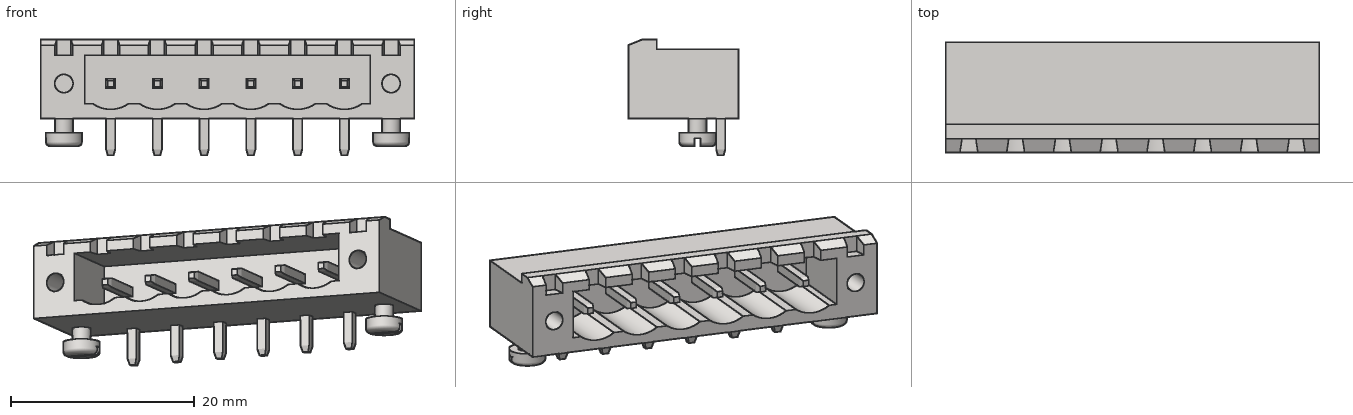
import cadquery as cq


length = 40.65
depth = 12.0
overall_height = 12.6
height = 8.6
rear_height = 7.55
lip_depth = 3.1
lip_slope_depth = 1.5
lip_slope_drop = 0.6

contact_count = 6
pitch = 5.1
row_height = 3.8
contact_xs = [(i - (contact_count - 1) / 2) * pitch for i in range(contact_count)]
mount_x = (contact_count + 1) / 2 * pitch
mount_xs = [-mount_x, mount_x]

cavity_length = 31.05
cavity_floor = 1.63
cavity_roof = 6.85
cavity_depth = 8.5
trough_width = 3.9
trough_sag = 0.6

notch_front_width = 1.95
notch_rear_width = 1.5

pin_size = 1.0
pin_tip_size = 0.65
pin_taper = 0.65
pin_front_y = 1.85
pin_rear_y = 10.05
pin_drop = overall_height - height

hole_diameter = 2.0
hole_depth = 6.0
screw_y = 7.5
shank_diameter = 2.0
shank_length = 1.5
head_diameter = 4.0
head_height = 1.5
head_fillet = 0.5
slot_width = 0.6
slot_depth = 0.85


def make_housing():
    """Body with a raised lip whose top slopes down to the front face."""
    return (
        cq.Workplane("YZ")
        .moveTo(0, 0)
        .lineTo(depth, 0)
        .lineTo(depth, rear_height)
        .lineTo(lip_depth, rear_height)
        .lineTo(lip_depth, height)
        .lineTo(lip_slope_depth, height)
        .lineTo(0, height - lip_slope_drop)
        .close()
        .extrude(length / 2, both=True)
    )


def make_cavity():
    """Socket space, open to the front, with an arched trough below each contact."""
    half_length = cavity_length / 2
    outline = cq.Workplane("XZ").moveTo(-half_length, cavity_roof).lineTo(-half_length, cavity_floor)
    for x in contact_xs:
        outline = outline.lineTo(x - trough_width / 2, cavity_floor).threePointArc(
            (x, cavity_floor - trough_sag),
            (x + trough_width / 2, cavity_floor),
        )
    outline = outline.lineTo(half_length, cavity_floor).lineTo(half_length, cavity_roof).close()
    return outline.extrude(-cavity_depth)


def make_notch(x):
    """Tapered notch through the sloped front of the lip, down to the cavity roof."""
    return (
        cq.Workplane("XY", origin=(x, 0, cavity_roof))
        .polyline([
            (-notch_front_width / 2, 0),
            (notch_front_width / 2, 0),
            (notch_rear_width / 2, lip_slope_depth),
            (-notch_rear_width / 2, lip_slope_depth),
        ])
        .close()
        .extrude(height - cavity_roof)
    )


def make_pin_leg(plane, leg_length):
    """Square bar along the plane's normal, tapered at its far end."""
    bar_length = leg_length - pin_taper
    bar = cq.Workplane(plane).rect(pin_size, pin_size).extrude(bar_length)
    tip = (
        cq.Workplane(plane)
        .workplane(offset=bar_length)
        .rect(pin_size, pin_size)
        .workplane(offset=pin_taper)
        .rect(pin_tip_size, pin_tip_size)
        .loft(ruled=True)
    )
    return bar.union(tip)


def make_pin(x):
    """Right-angle contact: one leg forward into the cavity, one leg down."""
    corner = (x, pin_rear_y, row_height)
    forward = cq.Plane(origin=corner, xDir=(1, 0, 0), normal=(0, -1, 0))
    down = cq.Plane(origin=corner, xDir=(1, 0, 0), normal=(0, 0, -1))
    forward_leg = make_pin_leg(forward, pin_rear_y - pin_front_y)
    down_leg = make_pin_leg(down, row_height + pin_drop)
    return forward_leg.union(down_leg)


def make_screw(x):
    """Slotted screw below the housing; its slot runs along X."""
    head_bottom = -(shank_length + head_height)
    head = (
        cq.Workplane("XY", origin=(x, screw_y, head_bottom))
        .circle(head_diameter / 2)
        .extrude(head_height)
        .faces("<Z")
        .edges()
        .fillet(head_fillet)
    )
    slot = (
        cq.Workplane("XY", origin=(x, screw_y, head_bottom))
        .rect(head_diameter, slot_width)
        .extrude(slot_depth)
    )
    shank = (
        cq.Workplane("XY", origin=(x, screw_y, -shank_length))
        .circle(shank_diameter / 2)
        .extrude(shank_length)
    )
    return head.cut(slot).union(shank)


def make_mounting_hole(x):
    """Blind hole in the front face."""
    return cq.Workplane("XZ", origin=(x, 0, row_height)).circle(hole_diameter / 2).extrude(-hole_depth)


result = make_housing().cut(make_cavity())
for x in contact_xs + mount_xs:
    result = result.cut(make_notch(x))
for x in mount_xs:
    result = result.cut(make_mounting_hole(x)).union(make_screw(x))
for x in contact_xs:
    result = result.union(make_pin(x))